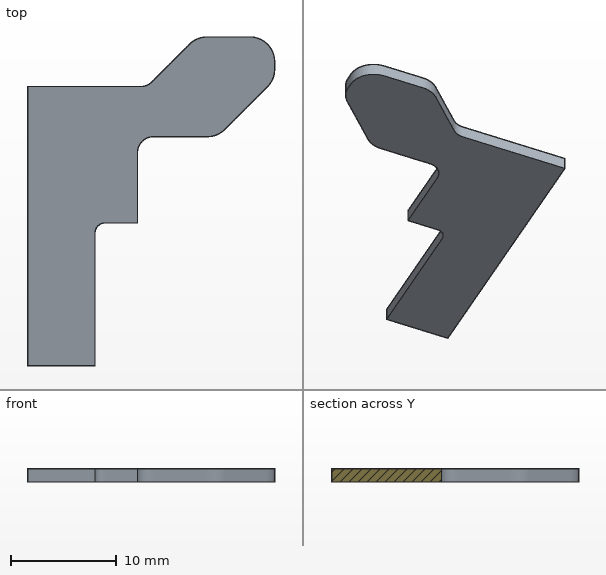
import cadquery as cq

length = 31.1
width = 23.35
thickness = 1.28

leg_width = 6.38
step_width = 10.4
step_height = 13.5
shoulder_height = 26.4

head_bottom = 21.65
upper_slant_offset = 15.12
lower_slant_offset = 3.7

head_radius = 2.35
neck_radius = 1.5
step_radius = 0.93

outline = [
    (0, 0),
    (leg_width, 0),
    (leg_width, step_height),
    (step_width, step_height),
    (step_width, head_bottom),
    (head_bottom - lower_slant_offset, head_bottom),
    (width, width + lower_slant_offset),
    (width, length),
    (length - upper_slant_offset, length),
    (shoulder_height - upper_slant_offset, shoulder_height),
    (0, shoulder_height),
]

rounded_corners = [
    (step_radius, [outline[2]]),
    (neck_radius, [outline[4], outline[9]]),
    (head_radius, outline[5:9]),
]


def round_corner(body, corner, radius):
    """Round the vertical edge standing on one outline point."""
    edge = cq.selectors.NearestToPointSelector((*corner, thickness / 2))
    return body.edges("|Z").edges(edge).fillet(radius)


result = cq.Workplane("XY").polyline(outline).close().extrude(thickness)
for radius, corners in rounded_corners:
    for corner in corners:
        result = round_corner(result, corner, radius)